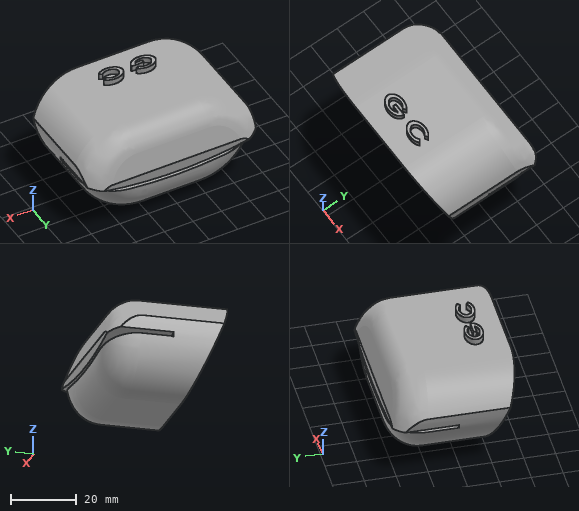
import cadquery as cq
import math

width = 60.0
height = 30.0
length = 40.0
bottom_length = 27.85
half_width = width / 2

side_radius = width / 3
shoulder_height = side_radius
bottom_half_flat = half_width - side_radius
upper_center_z = height - side_radius
top_half_flat = half_width - math.sqrt(side_radius**2 - (shoulder_height - upper_center_z) ** 2)

back_fillet = side_radius / 2
lean_start_z = 16.2
lean_slope = 0.33

slot_depth = side_radius
slot_roof_edge_z = 15.85
slot_floor_edge_z = 14.65
slot_sag = 3.35

letter_height = 32.0 - height
letter_y = -30.2
g_x = -5.35
c_x = 6.0
letter_rx = 4.15
letter_ry = 2.8
stroke_x = 1.45
stroke_y = 0.95
mouth_apex_x = 0.85
mouth_slope = 0.64
g_bar_start = -0.2
g_bar_end = 3.95
g_bar_top = 0.1
g_bar_width = 1.0


def arc_point(center_x, center_z, degrees):
    """Point on a side arc, measured from the +X direction."""
    angle = math.radians(degrees)
    return (center_x + side_radius * math.cos(angle), center_z + side_radius * math.sin(angle))


def mirrored(point):
    return (-point[0], point[1])


def make_body_prism():
    shoulder = (half_width, shoulder_height)
    lower_mid = arc_point(bottom_half_flat, side_radius, -45)
    upper_mid = arc_point(top_half_flat, upper_center_z, 60)
    return (
        cq.Workplane("XZ")
        .moveTo(-bottom_half_flat, 0)
        .lineTo(bottom_half_flat, 0)
        .threePointArc(lower_mid, shoulder)
        .threePointArc(upper_mid, (top_half_flat, height))
        .lineTo(-top_half_flat, height)
        .threePointArc(mirrored(upper_mid), mirrored(shoulder))
        .threePointArc(mirrored(lower_mid), (-bottom_half_flat, 0))
        .close()
        .extrude(length)
    )


def make_lower_envelope():
    """Stadium-sided block whose back edge is rounded below the shoulder."""
    lower_mid = arc_point(bottom_half_flat, side_radius, -45)
    block = (
        cq.Workplane("XZ")
        .moveTo(-half_width, height)
        .lineTo(-half_width, shoulder_height)
        .threePointArc(mirrored(lower_mid), (-bottom_half_flat, 0))
        .lineTo(bottom_half_flat, 0)
        .threePointArc(lower_mid, (half_width, shoulder_height))
        .lineTo(half_width, height)
        .close()
        .extrude(length)
    )
    back_edges = block.faces(">Y").edges().edges("not(>Z)")
    return block.newObject(back_edges.vals()).fillet(back_fillet)


def make_upper_envelope():
    """Top block with its arcs carried down past the shoulder and a leaning, rounded back."""
    upper_mid = arc_point(top_half_flat, upper_center_z, 45)
    end_x = top_half_flat + side_radius
    lean_y_bottom = lean_slope * lean_start_z
    lean_y_top = -lean_slope * (height - lean_start_z)
    lean_prism = (
        cq.Workplane("YZ")
        .polyline([(-length, 0), (lean_y_bottom, 0), (lean_y_top, height), (-length, height)])
        .close()
        .extrude(end_x, both=True)
    )
    block = (
        cq.Workplane("XZ", origin=(0, lean_y_bottom, 0))
        .moveTo(-end_x, 0)
        .lineTo(end_x, 0)
        .lineTo(end_x, upper_center_z)
        .threePointArc(upper_mid, (top_half_flat, height))
        .lineTo(-top_half_flat, height)
        .threePointArc(mirrored(upper_mid), (-end_x, upper_center_z))
        .close()
        .extrude(length + lean_y_bottom)
        .intersect(lean_prism)
    )
    lean_direction = cq.Vector(0, 1, lean_slope)
    back_face = block.faces(cq.DirectionMinMaxSelector(lean_direction, True))
    return block.newObject(back_face.edges("not(<Z)").vals()).fillet(back_fillet)


def make_below_curve(edge_z):
    """Everything in the slotted back end below a curve that sags towards the middle."""
    return (
        cq.Workplane("XZ")
        .moveTo(-half_width, 0)
        .lineTo(-half_width, edge_z)
        .threePointArc((0, edge_z - slot_sag), (half_width, edge_z))
        .lineTo(half_width, 0)
        .close()
        .extrude(slot_depth)
    )


def make_slotted_body():
    prism = make_body_prism()
    upper_lip = prism.intersect(make_upper_envelope()).cut(make_below_curve(slot_roof_edge_z))
    lower_lip = prism.intersect(make_lower_envelope()).intersect(make_below_curve(slot_floor_edge_z))
    return upper_lip.union(lower_lip)


def cut_slanted_front(body):
    waste = (
        cq.Workplane("YZ")
        .polyline([(-length, 0), (-bottom_length, 0), (-length, height)])
        .close()
        .extrude(half_width, both=True)
    )
    return body.cut(waste)


def make_letter(center_x, has_bar):
    """Elliptical C with a wedge-shaped mouth; the bar and lower jaw turn it into a G."""
    plane = cq.Workplane("XY", origin=(center_x, letter_y, height))
    bowl = plane.ellipse(letter_rx, letter_ry).extrude(letter_height)
    inside = plane.ellipse(letter_rx - stroke_x, letter_ry - stroke_y).extrude(letter_height)
    mouth_x = 2 * letter_rx
    mouth_y = mouth_slope * (mouth_x - mouth_apex_x)
    mouth = [(mouth_apex_x, 0), (mouth_x, mouth_y), (mouth_x, -mouth_y)]
    if has_bar:
        mouth = [(mouth_apex_x, g_bar_top), (mouth_x, mouth_y), (mouth_x, g_bar_top)]
    letter = bowl.cut(inside).cut(plane.polyline(mouth).close().extrude(letter_height))
    if has_bar:
        bar_length = g_bar_end - g_bar_start
        bar = (
            plane.center(g_bar_start, g_bar_top - g_bar_width)
            .rect(bar_length, g_bar_width, centered=False)
            .extrude(letter_height)
            .intersect(bowl)
        )
        letter = letter.union(bar)
    return letter


result = (
    cut_slanted_front(make_slotted_body())
    .union(make_letter(g_x, True))
    .union(make_letter(c_x, False))
)